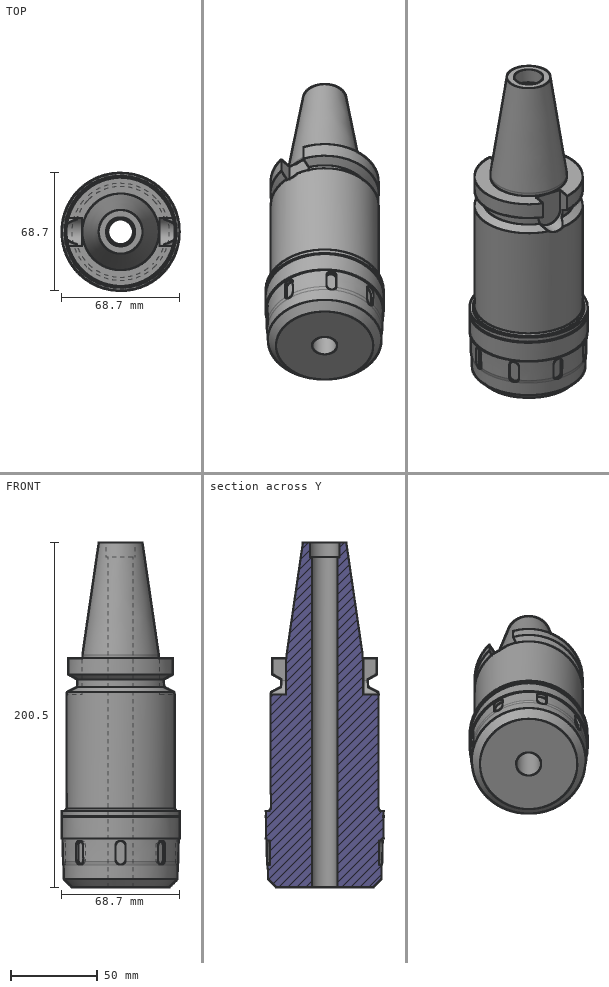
import cadquery as cq
import math

total_height = 200.5

taper_ratio = 7 / 24
gauge_z = 135.0
gauge_radius = 22.2
taper_end_radius = gauge_radius - (total_height - gauge_z) * taper_ratio / 2
stud_bore_radius = 8.5
stud_bore_depth = 8.6
through_bore_radius = 7.2

flange_top_z = 133.0
flange_radius = 31.5
flange_edge_z = 123.6
groove_radius = 26.5
groove_flank_angle = 30.0
groove_width = 4.5
flank_height = (flange_radius - groove_radius) * math.tan(math.radians(groove_flank_angle))
groove_top_z = flange_edge_z - flank_height
groove_bottom_z = groove_top_z - groove_width
body_top_z = groove_bottom_z - flank_height

keyway_count = 2
keyway_width = 16.2
keyway_floor = 22.5
keyway_bottom_z = 112.0

body_radius = flange_radius
flare_height = 1.2
flare_width = 1.0

nut_top_z = 44.5
nut_diameter = 68.7
nut_radius = nut_diameter / 2
nut_groove_z = 41.3
nut_groove_width = 0.6
nut_groove_depth = 0.2
nut_step_z = 28.3
grip_top_radius = 33.9
grip_chamfer_radius = 33.7
grip_bottom_radius = 33.3
grip_chamfer_z = 15.0
grip_bottom_z = 13.0
nose_radius = 33.0
nose_chamfer_z = 4.8
nose_face_radius = 28.3

slot_count = 8
slot_width = 5.8
slot_top_z = 27.0
slot_bottom_z = 13.2
slot_floor = 31.9


def turned_body():
    """Solid of revolution for the shank, flange, body and nut."""
    groove_floor_radius = nut_radius - nut_groove_depth
    outline = [
        (0, 0),
        (nose_face_radius, 0),
        (nose_radius, nose_chamfer_z),
        (grip_bottom_radius, grip_bottom_z),
        (grip_chamfer_radius, grip_chamfer_z),
        (grip_top_radius, nut_step_z),
        (nut_radius, nut_step_z),
        (nut_radius, nut_groove_z - nut_groove_width / 2),
        (groove_floor_radius, nut_groove_z - nut_groove_width / 2),
        (groove_floor_radius, nut_groove_z + nut_groove_width / 2),
        (nut_radius, nut_groove_z + nut_groove_width / 2),
        (nut_radius, nut_top_z),
        (body_radius + flare_width, nut_top_z),
        (body_radius, nut_top_z + flare_height),
        (body_radius, body_top_z),
        (groove_radius, groove_bottom_z),
        (groove_radius, groove_top_z),
        (flange_radius, flange_edge_z),
        (flange_radius, flange_top_z),
        (gauge_radius, flange_top_z),
        (gauge_radius, gauge_z),
        (taper_end_radius, total_height),
        (0, total_height),
    ]
    return cq.Workplane("XZ").polyline(outline).close().revolve(360, (0, 0), (0, 1))


def bores():
    """Through bore widened at the taper end for the pull stud."""
    through = cq.Workplane("XY").circle(through_bore_radius).extrude(total_height)
    stud = (
        cq.Workplane("XY")
        .workplane(offset=total_height - stud_bore_depth)
        .circle(stud_bore_radius)
        .extrude(stud_bore_depth)
    )
    return through.union(stud)


def keyway():
    """Round-bottomed slot on the +X side, open at the flange top."""
    half_width = keyway_width / 2
    arc_z = keyway_bottom_z + half_width
    return (
        cq.Workplane("YZ")
        .workplane(offset=keyway_floor)
        .moveTo(-half_width, flange_top_z)
        .lineTo(-half_width, arc_z)
        .threePointArc((0, keyway_bottom_z), (half_width, arc_z))
        .lineTo(half_width, flange_top_z)
        .close()
        .extrude(nut_radius - keyway_floor)
    )


def spanner_slot():
    """Round-ended slot with a flat floor on the +X side of the nut."""
    return (
        cq.Workplane("YZ")
        .workplane(offset=slot_floor)
        .center(0, (slot_top_z + slot_bottom_z) / 2)
        .slot2D(slot_top_z - slot_bottom_z, slot_width, 90)
        .extrude(nut_radius - slot_floor)
    )


def cut_around_axis(part, cutter, count):
    """Cut the same shape at evenly spaced angles about Z."""
    for index in range(count):
        part = part.cut(cutter.rotate((0, 0, 0), (0, 0, 1), index * 360 / count))
    return part


result = turned_body().cut(bores())
result = cut_around_axis(result, keyway(), keyway_count)
result = cut_around_axis(result, spanner_slot(), slot_count)